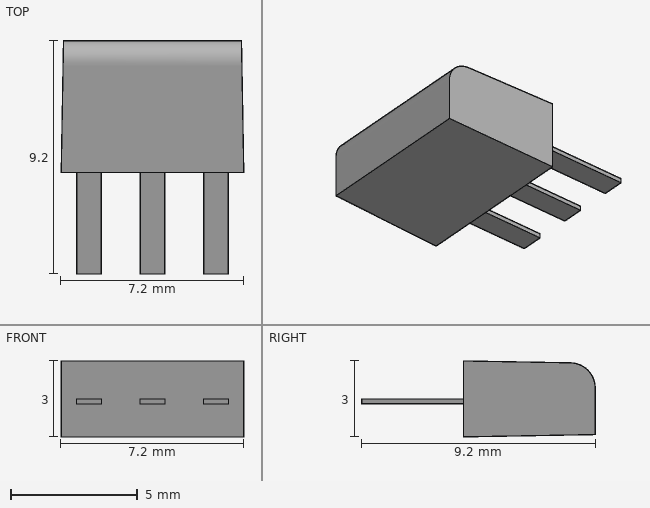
import cadquery as cq
import math

body_width = 7.2
body_length = 5.2
body_height = 3.0
draft_angle = 1.0
back_edge_radius = 1.0

lead_count = 3
lead_pitch = 2.5
lead_width = 0.98
lead_thickness = 0.2
lead_length = 4.0
lead_centre_above_bottom = 1.4


def make_body():
    """Drafted block with its top back edge rounded; front face on Y = 0, centred on X and Z."""
    taper = body_length * math.tan(math.radians(draft_angle))
    block = (
        cq.Workplane("XZ")
        .rect(body_width, body_height)
        .workplane(offset=-body_length)
        .rect(body_width - 2 * taper, body_height - 2 * taper)
        .loft(ruled=True)
    )
    return block.faces(">Y").edges(">Z").fillet(back_edge_radius)


def make_lead(x_centre):
    """Flat straight lead running from the front face toward -Y."""
    z_centre = lead_centre_above_bottom - body_height / 2
    return cq.Workplane("XY").box(lead_width, lead_length, lead_thickness).translate(
        (x_centre, -lead_length / 2, z_centre)
    )


result = make_body()
for index in range(lead_count):
    lead_x = (index - (lead_count - 1) / 2) * lead_pitch
    result = result.union(make_lead(lead_x))